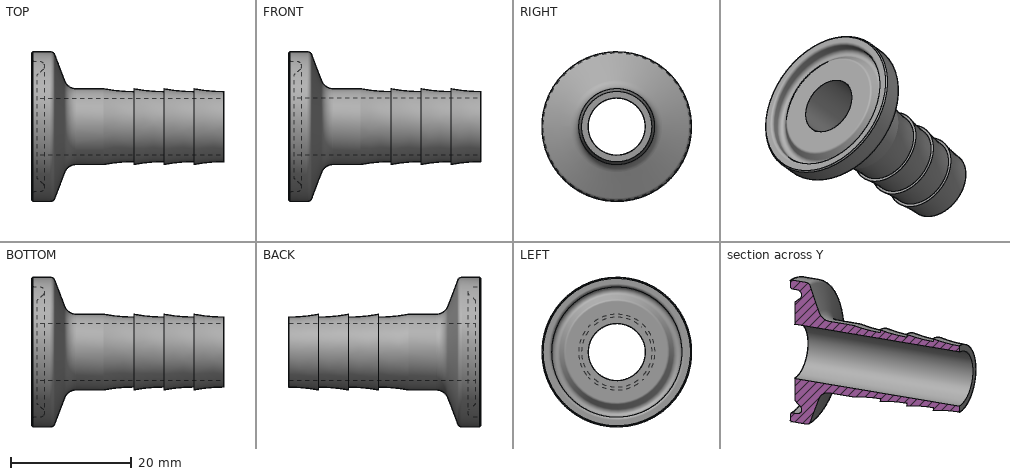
import cadquery as cq
import math

length = 32.0
flange_diameter = 25.0
flange_radius = flange_diameter / 2
tube_radius = 6.35
bore_radius = 4.75

face_chamfer = 0.22
rim_length = 3.1
rim_fillet = 0.8
neck_fillet = 2.0
neck_end = 7.4

face_recess = 0.85
lip_radius = 0.5
groove_radius = 0.77
inner_lip_radius = 8.4
groove_outer_radius = 10.85
groove_center_radius = groove_outer_radius - groove_radius

barb_start = 12.0
barb_count = 4
barb_root_radius = 5.85
barb_length = (length - barb_start) / barb_count


def arc_point(center, radius, degrees):
    """Point (x, r) on a circle, with the angle measured from +X towards +r."""
    angle = math.radians(degrees)
    return (center[0] + radius * math.cos(angle), center[1] + radius * math.sin(angle))


def add_arc(profile, center, radius, start, end):
    """Arc from the start angle, where the profile now stands, to the end angle."""
    middle = arc_point(center, radius, (start + end) / 2)
    return profile.threePointArc(middle, arc_point(center, radius, end))


def add_groove(profile):
    """Rounded groove: vertical outer wall, sloping inner wall, both lips rounded."""
    outer_lip = (lip_radius, groove_outer_radius + lip_radius)
    floor = (face_recess + lip_radius, groove_center_radius)
    inner_lip = (face_recess + lip_radius, inner_lip_radius)

    center_gap = groove_center_radius - inner_lip_radius
    slope = math.degrees(math.asin((groove_radius + lip_radius) / center_gap))

    profile = profile.lineTo(*arc_point(inner_lip, lip_radius, 180))
    profile = add_arc(profile, inner_lip, lip_radius, 180, 180 - slope)
    profile = profile.lineTo(*arc_point(floor, groove_radius, -slope))
    profile = add_arc(profile, floor, groove_radius, -slope, 90)
    profile = profile.lineTo(lip_radius, groove_outer_radius)
    return add_arc(profile, outer_lip, lip_radius, -90, -180)


def add_flange_back(profile):
    """Chamfered rim, then a cone blended into the rim and into the tube."""
    rim_center = (rim_length, flange_radius - rim_fillet)
    neck_center = (neck_end, tube_radius + neck_fillet)

    dx = neck_center[0] - rim_center[0]
    dr = neck_center[1] - rim_center[1]
    offset = math.acos((rim_fillet + neck_fillet) / math.hypot(dx, dr))
    normal = math.degrees(math.atan2(dr, dx) + offset)

    profile = profile.lineTo(0, flange_radius - face_chamfer)
    profile = profile.lineTo(face_chamfer, flange_radius)
    profile = profile.lineTo(rim_length, flange_radius)
    profile = add_arc(profile, rim_center, rim_fillet, 90, normal)
    profile = profile.lineTo(*arc_point(neck_center, neck_fillet, normal + 180))
    return add_arc(profile, neck_center, neck_fillet, normal + 180, 270)


def add_barbs(profile):
    """Each barb sweeps down in a hollow arc that ends parallel to the axis."""
    drop = tube_radius - barb_root_radius
    sweep_radius = (barb_length**2 + drop**2) / (2 * drop)
    sweep_angle = math.degrees(math.asin(barb_length / sweep_radius))
    for index in range(barb_count):
        start = barb_start + index * barb_length
        profile = profile.lineTo(start, tube_radius)
        center = (start + barb_length, barb_root_radius + sweep_radius)
        profile = add_arc(profile, center, sweep_radius, 270 - sweep_angle, 270)
    return profile


profile = cq.Workplane("XY").moveTo(face_recess, bore_radius)
profile = add_groove(profile)
profile = add_flange_back(profile)
profile = add_barbs(profile)
profile = profile.lineTo(length, bore_radius).close()

result = profile.revolve(360, (0, 0, 0), (1, 0, 0))